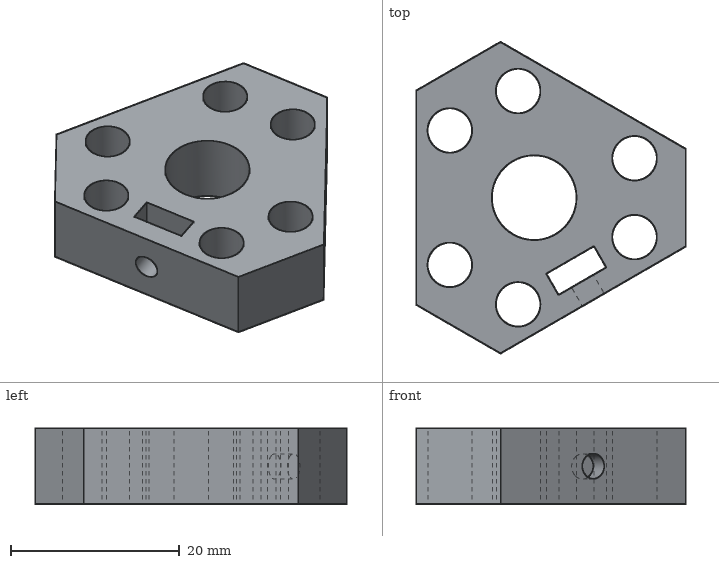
import cadquery as cq
import math

thickness = 9.0
long_side_distance = 14.0
short_side_distance = 18.0
arm_angles = (0, 120, 240)

bore_diameter = 10.0
mount_hole_diameter = 5.25
mount_hole_radial = 11.9
mount_hole_spacing = 9.35

screw_side_angle = -60
slot_distance = 9.98
slot_width = 2.9
slot_length = 6.5
screw_hole_diameter = 3.0


def rotated(x, y, degrees):
    """Turn a point about the bore axis."""
    a = math.radians(degrees)
    return (x * math.cos(a) - y * math.sin(a), x * math.sin(a) + y * math.cos(a))


def make_body():
    turn = math.radians(60)
    half_short_side = (long_side_distance - short_side_distance * math.cos(turn)) / math.sin(turn)
    corners = [
        rotated(short_side_distance, y, angle)
        for angle in arm_angles
        for y in (-half_short_side, half_short_side)
    ]
    return cq.Workplane("XY").polyline(corners).close().extrude(thickness)


def make_vertical_holes():
    centers = [
        rotated(mount_hole_radial, y, angle)
        for angle in arm_angles
        for y in (-mount_hole_spacing / 2, mount_hole_spacing / 2)
    ]
    bore = cq.Workplane("XY").circle(bore_diameter / 2).extrude(thickness)
    mounts = cq.Workplane("XY").pushPoints(centers).circle(mount_hole_diameter / 2).extrude(thickness)
    return bore.union(mounts)


def make_nut_slot():
    slot = cq.Workplane("XY").center(slot_distance, 0).rect(slot_width, slot_length).extrude(thickness)
    return slot.rotate((0, 0, 0), (0, 0, 1), screw_side_angle)


def make_screw_hole():
    hole = (
        cq.Workplane("YZ", origin=(slot_distance, 0, thickness / 2))
        .circle(screw_hole_diameter / 2)
        .extrude(long_side_distance - slot_distance)
    )
    return hole.rotate((0, 0, 0), (0, 0, 1), screw_side_angle)


result = make_body().cut(make_vertical_holes()).cut(make_nut_slot()).cut(make_screw_hole())